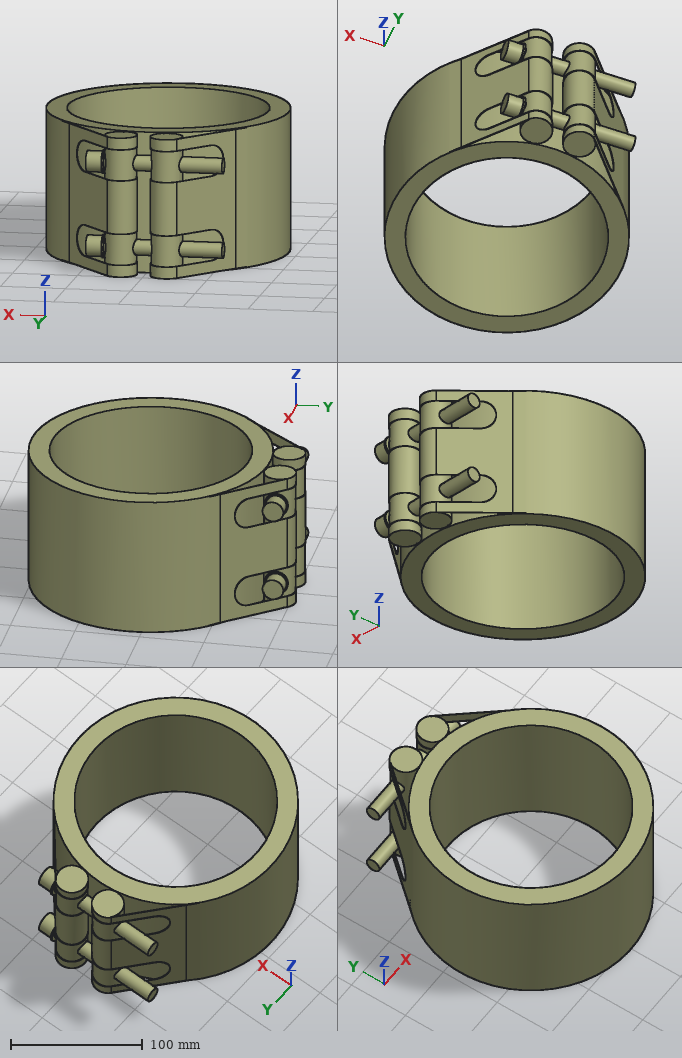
import cadquery as cq
import math

outer_diameter = 185.8
bore_diameter = 154.0
sleeve_height = 109.0
sleeve_radius = outer_diameter / 2

overall_depth = 209.0
strap_thickness = 0.5
strap_height = 107.8
pin_diameter = 24.0
pin_offset = 17.8
pin_radius = pin_diameter / 2
roll_radius = pin_radius + strap_thickness
pin_y = overall_depth - sleeve_radius - roll_radius

pin_distance = math.hypot(pin_offset, pin_y)
pin_angle = math.atan2(pin_y, pin_offset)
normal_angle = pin_angle - math.acos((sleeve_radius - roll_radius) / pin_distance)
normal_x = math.cos(normal_angle)
normal_y = math.sin(normal_angle)

slot_width = 24.0
slot_end_y = 77.0
slot_cut_depth = 3 * roll_radius

bolt_spacing = 65.5
bolt_diameter = 12.0
bolt_tip_x = -61.2
washer_diameter = 18.0
washer_start_x = 29.9
washer_thickness = 1.5
head_diameter = 16.0
head_end_x = 43.5
bolt_levels = (-bolt_spacing / 2, bolt_spacing / 2)


def cylinder_z(diameter, height, x=0.0, y=0.0):
    """Upright cylinder centred on Z = 0."""
    return cq.Workplane("XY").center(x, y).circle(diameter / 2).extrude(height / 2, both=True)


def cylinder_x(diameter, start_x, end_x, level):
    """Cylinder along X on a bolt axis."""
    profile = cq.Workplane("YZ", origin=(start_x, pin_y, level)).circle(diameter / 2)
    return profile.extrude(end_x - start_x)


def on_sheet(center_x, center_y, radius):
    """Point on a circle where its tangent runs along the strap."""
    return (center_x + radius * normal_x, center_y + radius * normal_y)


def make_strap():
    """Right-hand strap: straight sheet plus the roll around its pin."""
    inner_radius = sleeve_radius - strap_thickness
    sheet = (
        cq.Workplane("XY")
        .moveTo(*on_sheet(0, 0, inner_radius))
        .lineTo(*on_sheet(0, 0, sleeve_radius))
        .lineTo(*on_sheet(pin_offset, pin_y, roll_radius))
        .lineTo(*on_sheet(pin_offset, pin_y, pin_radius))
        .close()
        .extrude(strap_height / 2, both=True)
    )
    roll = cylinder_z(2 * roll_radius, strap_height, pin_offset, pin_y)
    reach = 2 * roll_radius
    open_side = (
        cq.Workplane("XY")
        .moveTo(pin_offset, pin_y)
        .lineTo(*on_sheet(pin_offset, pin_y, reach))
        .lineTo(pin_offset + reach, pin_y - reach)
        .lineTo(pin_offset, pin_y - reach)
        .close()
        .extrude(strap_height / 2, both=True)
    )
    return sheet.union(roll.cut(open_side))


def make_slot(level):
    """Slot cutter normal to the right-hand strap, open past the top of the roll."""
    along = (-normal_y, normal_x, 0)
    start_x, start_y = on_sheet(0, 0, sleeve_radius)
    center_distance = (slot_end_y - start_y) / normal_x + slot_width / 2
    center_x = start_x + center_distance * along[0]
    center_y = start_y + center_distance * along[1]
    length = pin_distance
    plane = cq.Plane((center_x, center_y, level), along, (normal_x, normal_y, 0))
    round_end = cq.Workplane(plane).circle(slot_width / 2)
    body = cq.Workplane(plane).center(length / 2, 0).rect(length, slot_width)
    slot = round_end.extrude(slot_cut_depth, both=True)
    return slot.union(body.extrude(slot_cut_depth, both=True))


def make_bolt(level):
    """Threaded rod with its washer and round head."""
    washer_end_x = washer_start_x + washer_thickness
    rod = cylinder_x(bolt_diameter, bolt_tip_x, head_end_x, level)
    washer = cylinder_x(washer_diameter, washer_start_x, washer_end_x, level)
    head = cylinder_x(head_diameter, washer_end_x, head_end_x, level)
    return rod.union(washer).union(head)


strap = make_strap()
for bolt_level in bolt_levels:
    strap = strap.cut(make_slot(bolt_level))
straps = strap.union(strap.mirror("YZ"))

sleeve = cylinder_z(outer_diameter, sleeve_height)
result = sleeve.union(straps)
for side in (-1, 1):
    result = result.union(cylinder_z(pin_diameter, strap_height, side * pin_offset, pin_y))
for bolt_level in bolt_levels:
    result = result.union(make_bolt(bolt_level))
result = result.cut(cylinder_z(bore_diameter, sleeve_height))